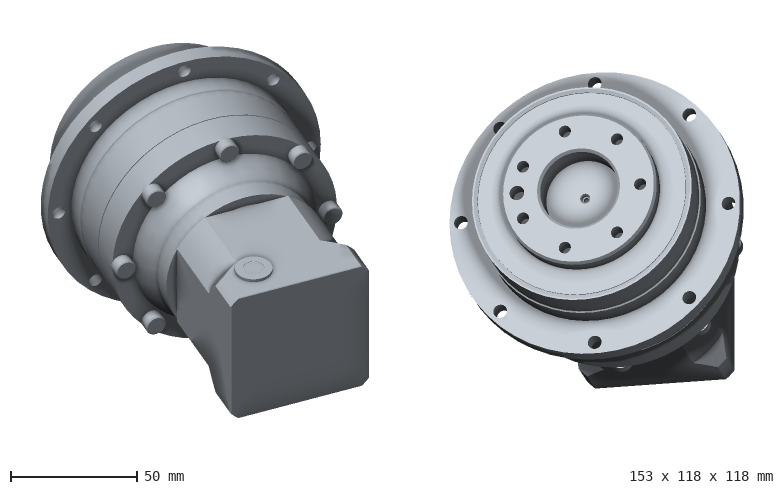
import cadquery as cq
import math


OUTPUT_DIA = 63.0
OUTPUT_CHAMFER_X = 1.2
OUTPUT_CHAMFER_R = 0.9
PILOT_DIA = 31.5
PILOT_DEPTH = 12.4
PILOT_CHAMFER = 1.0
BOLT_CIRCLE_DIA = 50.0
BOLT_HOLE_DIA = 4.9
BOLT_HOLE_COUNT = 7
DOWEL_HOLE_DIA = 6.0
TAPPED_DEPTH = 7.6
DRILL_POINT_ANGLE = 118.0

CENTER_SINK_DIA = 4.1
CENTER_SINK_ANGLE = 60.0
CENTER_BORE_DIA = 3.2
CENTER_BORE_DEPTH = 2.3
CENTER_DRILL_DIA = 2.0
CENTER_DRILL_DEPTH = 1.5

FRONT_FACE_X = 6.1
PILOT_STEP_X = 20.0
FLANGE_FRONT_X = 30.1
FLANGE_REAR_X = 37.3
COLLAR_REAR_X = 46.0
GROOVE_X = 63.3
CASE_REAR_X = 77.7
CONE_REAR_X = 89.4
RING_REAR_X = 98.7

FRONT_DIA = 89.2
PILOT_STEP_DIA = 90.4
FLANGE_DIA = 118.0
COLLAR_DIA = 97.8
CASE_DIA = 97.0
CONE_FRONT_DIA = 79.3
RING_DIA = 68.7
EDGE_BREAK = 0.3
GROOVE_WIDTH = 0.5
GROOVE_DEPTH = 0.3

RECESS_RIM_DIA = 87.8
RECESS_FLOOR_DIA = 84.9
RECESS_DEPTH = 0.5
SEAL_GAP_WIDTH = 0.3
SEAL_GAP_DEPTH = 0.5

MOUNT_CIRCLE_DIA = 108.6
MOUNT_HOLE_DIA = 5.5
MOUNT_HOLE_COUNT = 8
SCREW_CIRCLE_DIA = 89.4
SCREW_HEAD_DIA = 8.5
SCREW_HEAD_LENGTH = 4.9
SCREW_CHAMFER = 0.5
SCREW_COUNT = 8

SQUARE_SIDE = 60.0
BAR_FRONT_X = 99.3
BLOCK_FRONT_X = 131.0
TAPER_REAR_X = 137.9
END_X = 153.0
BAR_TURNED_DIA = 70.0
BLOCK_TURNED_DIA = 80.0
END_CHAMFER = 0.3

PLUG_DIA = 15.0
PLUG_X = 138.8
PLUG_Y = -13.9
PLUG_HEIGHT = 1.4
PLUG_RECESS_DIA = 8.5
PLUG_RECESS_DEPTH = 0.2


def revolve_about_x(points):
    """Solid of revolution about the X axis from (x, radius) points."""
    return cq.Workplane("XY").polyline(points).close().revolve(360, (0, 0, 0), (1, 0, 0))


def disc(dia, start_x, end_x):
    """Round disc centred on the X axis."""
    return cq.Workplane("YZ", origin=(start_x, 0, 0)).circle(dia / 2).extrude(end_x - start_x)


def ring(outer_dia, inner_dia, start_x, end_x):
    """Flat ring centred on the X axis."""
    face = cq.Workplane("YZ", origin=(start_x, 0, 0)).circle(outer_dia / 2).circle(inner_dia / 2)
    return face.extrude(end_x - start_x)


def square_bar(start_x, end_x):
    """Bar of square section centred on the X axis."""
    return cq.Workplane("YZ", origin=(start_x, 0, 0)).rect(SQUARE_SIDE, SQUARE_SIDE).extrude(end_x - start_x)


def circle_point(circle_dia, angle):
    """(y, z) position on a pitch circle; the angle in degrees is measured from +Y."""
    radius = circle_dia / 2
    return radius * math.cos(math.radians(angle)), radius * math.sin(math.radians(angle))


def drilled_hole(dia, depth, start_x, y=0.0, z=0.0):
    """Cutter for a blind hole along +X with a conical drill point."""
    radius = dia / 2
    end_x = start_x + depth
    point_length = radius / math.tan(math.radians(DRILL_POINT_ANGLE / 2))
    profile = [(start_x, 0), (start_x, radius), (end_x, radius), (end_x + point_length, 0)]
    return revolve_about_x(profile).translate((0, y, z))


def make_turned_case():
    """Turned body, from the output flange to the ring in front of the square bar."""
    output_radius = OUTPUT_DIA / 2
    return revolve_about_x([
        (0, 0),
        (0, output_radius - OUTPUT_CHAMFER_R),
        (OUTPUT_CHAMFER_X, output_radius),
        (FRONT_FACE_X, output_radius),
        (FRONT_FACE_X, FRONT_DIA / 2),
        (PILOT_STEP_X, FRONT_DIA / 2),
        (PILOT_STEP_X + EDGE_BREAK, PILOT_STEP_DIA / 2),
        (FLANGE_FRONT_X, PILOT_STEP_DIA / 2),
        (FLANGE_FRONT_X, FLANGE_DIA / 2),
        (FLANGE_REAR_X, FLANGE_DIA / 2),
        (FLANGE_REAR_X, COLLAR_DIA / 2),
        (COLLAR_REAR_X - EDGE_BREAK, COLLAR_DIA / 2),
        (COLLAR_REAR_X, CASE_DIA / 2),
        (CASE_REAR_X, CASE_DIA / 2),
        (CASE_REAR_X, CONE_FRONT_DIA / 2),
        (CONE_REAR_X, RING_DIA / 2),
        (RING_REAR_X, RING_DIA / 2),
        (RING_REAR_X, 0),
    ])


def make_joint_groove():
    """Cutter for the narrow groove around the case."""
    start_x = GROOVE_X - GROOVE_WIDTH / 2
    return ring(FLANGE_DIA, CASE_DIA - 2 * GROOVE_DEPTH, start_x, start_x + GROOVE_WIDTH)


def make_front_recess():
    """Cutter for the bevelled front recess around the output flange and the gaps in its floor."""
    floor_x = FRONT_FACE_X + RECESS_DEPTH
    gap_end_x = floor_x + SEAL_GAP_DEPTH
    recess = revolve_about_x([
        (FRONT_FACE_X, OUTPUT_DIA / 2),
        (FRONT_FACE_X, RECESS_RIM_DIA / 2),
        (floor_x, RECESS_FLOOR_DIA / 2),
        (floor_x, OUTPUT_DIA / 2),
    ])
    inner_gap = ring(OUTPUT_DIA + 2 * SEAL_GAP_WIDTH, OUTPUT_DIA, FRONT_FACE_X, gap_end_x)
    outer_gap = ring(RECESS_FLOOR_DIA, RECESS_FLOOR_DIA - 2 * SEAL_GAP_WIDTH, FRONT_FACE_X, gap_end_x)
    return recess.union(inner_gap).union(outer_gap)


def make_pilot_bore():
    """Cutter for the central pilot bore with a chamfered mouth."""
    radius = PILOT_DIA / 2
    return revolve_about_x([
        (0, 0),
        (0, radius + PILOT_CHAMFER),
        (PILOT_CHAMFER, radius),
        (PILOT_DEPTH, radius),
        (PILOT_DEPTH, 0),
    ])


def make_center_hole():
    """Cutter for the countersunk, stepped centre hole in the floor of the pilot bore."""
    sink_depth = (CENTER_SINK_DIA - CENTER_BORE_DIA) / 2 / math.tan(math.radians(CENTER_SINK_ANGLE / 2))
    bore_end_x = PILOT_DEPTH + CENTER_BORE_DEPTH
    sink_and_bore = revolve_about_x([
        (PILOT_DEPTH, 0),
        (PILOT_DEPTH, CENTER_SINK_DIA / 2),
        (PILOT_DEPTH + sink_depth, CENTER_BORE_DIA / 2),
        (bore_end_x, CENTER_BORE_DIA / 2),
        (bore_end_x, 0),
    ])
    return sink_and_bore.union(drilled_hole(CENTER_DRILL_DIA, CENTER_DRILL_DEPTH, bore_end_x))


def make_bolt_hole(index):
    """Cutter for one output bolt hole; the first is at -Y, so +Y lies midway between two of them."""
    y, z = circle_point(BOLT_CIRCLE_DIA, 180 + index * 360 / BOLT_HOLE_COUNT)
    return drilled_hole(BOLT_HOLE_DIA, TAPPED_DEPTH, 0, y, z)


def make_dowel_hole():
    """Cutter for the dowel hole at +Y on the bolt circle."""
    y, z = circle_point(BOLT_CIRCLE_DIA, 0)
    return drilled_hole(DOWEL_HOLE_DIA, TAPPED_DEPTH, 0, y, z)


def make_mount_hole(index):
    """Cutter for one through hole in the mounting flange."""
    y, z = circle_point(MOUNT_CIRCLE_DIA, index * 360 / MOUNT_HOLE_COUNT)
    return disc(MOUNT_HOLE_DIA, FLANGE_FRONT_X, FLANGE_REAR_X).translate((0, y, z))


def make_screw_head(index):
    """One of the cover screw heads on the rear face of the case."""
    y, z = circle_point(SCREW_CIRCLE_DIA, index * 360 / SCREW_COUNT)
    head = disc(SCREW_HEAD_DIA, CASE_REAR_X, CASE_REAR_X + SCREW_HEAD_LENGTH)
    return head.faces(">X").chamfer(SCREW_CHAMFER).translate((0, y, z))


def make_rear_bar():
    """Square bar with turned corners, joined to the case by a short round neck."""
    turned = disc(BAR_TURNED_DIA, BAR_FRONT_X, BLOCK_FRONT_X)
    neck = disc(SQUARE_SIDE, RING_REAR_X, BAR_FRONT_X)
    return square_bar(BAR_FRONT_X, BLOCK_FRONT_X).intersect(turned).union(neck)


def make_gearbox():
    gearbox = make_turned_case().union(make_rear_bar())
    for index in range(SCREW_COUNT):
        gearbox = gearbox.union(make_screw_head(index))
    gearbox = gearbox.cut(make_joint_groove()).cut(make_front_recess())
    gearbox = gearbox.cut(make_pilot_bore()).cut(make_center_hole())
    for index in range(BOLT_HOLE_COUNT):
        gearbox = gearbox.cut(make_bolt_hole(index))
    for index in range(MOUNT_HOLE_COUNT):
        gearbox = gearbox.cut(make_mount_hole(index))
    return gearbox.cut(make_dowel_hole())


def make_plug():
    """Round plug with a shallow recess on the top face of the adapter block."""
    top_z = SQUARE_SIDE / 2 + PLUG_HEIGHT
    plug = cq.Workplane("XY", origin=(PLUG_X, PLUG_Y, SQUARE_SIDE / 2)).circle(PLUG_DIA / 2).extrude(PLUG_HEIGHT)
    recess = cq.Workplane("XY", origin=(PLUG_X, PLUG_Y, top_z)).circle(PLUG_RECESS_DIA / 2)
    return plug.cut(recess.extrude(-PLUG_RECESS_DEPTH))


def make_motor_adapter():
    """Square block whose turned corners taper down to the corner diameter of the gearbox bar."""
    block = square_bar(BLOCK_FRONT_X, END_X).faces(">X").chamfer(END_CHAMFER)
    turned = revolve_about_x([
        (BLOCK_FRONT_X, 0),
        (BLOCK_FRONT_X, BAR_TURNED_DIA / 2),
        (TAPER_REAR_X, BLOCK_TURNED_DIA / 2),
        (END_X, BLOCK_TURNED_DIA / 2),
        (END_X, 0),
    ])
    return block.intersect(turned).union(make_plug())


gearbox = make_gearbox()
motor_adapter = make_motor_adapter()
result = cq.Compound.makeCompound([gearbox.val(), motor_adapter.val()])